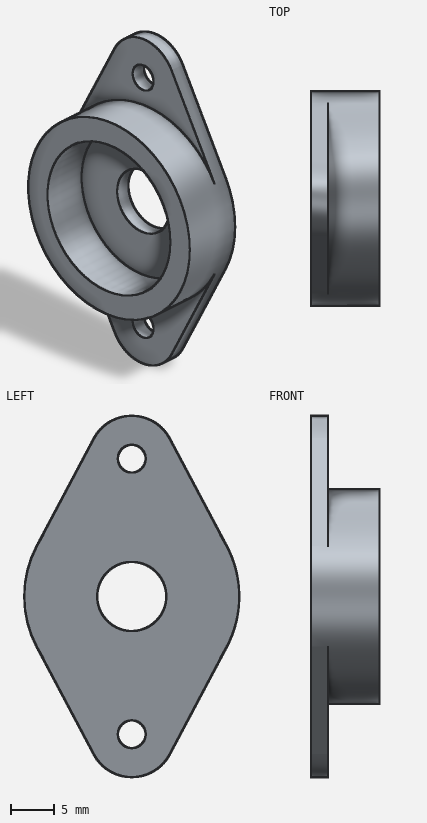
import cadquery as cq
import math

PLATE_THICKNESS = 2.0
TOTAL_DEPTH = 8.0
HUB_DIAMETER = 25.0
BORE_DIAMETER = 8.0
EAR_RADIUS = 5.0
EAR_OFFSET = 16.0
EAR_HOLE_DIAMETER = 3.2
POCKET_DIAMETER = 19.0

BACK_X = -TOTAL_DEPTH / 2
HUB_RADIUS = HUB_DIAMETER / 2


def disc(diameter, start_x, length, z=0.0):
    """Cylinder along +X, starting at start_x and centred at height z."""
    plane = cq.Workplane("YZ", origin=(start_x, 0, z))
    return plane.circle(diameter / 2).extrude(length)


def flange_plate():
    """Rhombic plate: hub arcs and ear arcs joined by common tangent lines."""
    tangent_sin = (HUB_RADIUS - EAR_RADIUS) / EAR_OFFSET
    tangent_cos = math.sqrt(1 - tangent_sin**2)
    hub_y = HUB_RADIUS * tangent_cos
    hub_z = HUB_RADIUS * tangent_sin
    ear_y = EAR_RADIUS * tangent_cos
    ear_z = EAR_OFFSET + EAR_RADIUS * tangent_sin
    tip_z = EAR_OFFSET + EAR_RADIUS
    return (
        cq.Workplane("YZ", origin=(BACK_X, 0, 0))
        .moveTo(hub_y, -hub_z)
        .threePointArc((HUB_RADIUS, 0), (hub_y, hub_z))
        .lineTo(ear_y, ear_z)
        .threePointArc((0, tip_z), (-ear_y, ear_z))
        .lineTo(-hub_y, hub_z)
        .threePointArc((-HUB_RADIUS, 0), (-hub_y, -hub_z))
        .lineTo(-ear_y, -ear_z)
        .threePointArc((0, -tip_z), (ear_y, -ear_z))
        .close()
        .extrude(PLATE_THICKNESS)
    )


def cut_ear_holes(body):
    """Drill one mounting hole through each ear."""
    for z in (-EAR_OFFSET, EAR_OFFSET):
        body = body.cut(disc(EAR_HOLE_DIAMETER, BACK_X, PLATE_THICKNESS, z))
    return body


def cut_hub(body):
    """Bore through the plate, opening into a wide pocket in the hub."""
    body = body.cut(disc(BORE_DIAMETER, BACK_X, TOTAL_DEPTH))
    pocket_depth = TOTAL_DEPTH - PLATE_THICKNESS
    return body.cut(disc(POCKET_DIAMETER, BACK_X + PLATE_THICKNESS, pocket_depth))


hub = disc(HUB_DIAMETER, BACK_X, TOTAL_DEPTH)
result = cut_hub(cut_ear_holes(flange_plate().union(hub)))